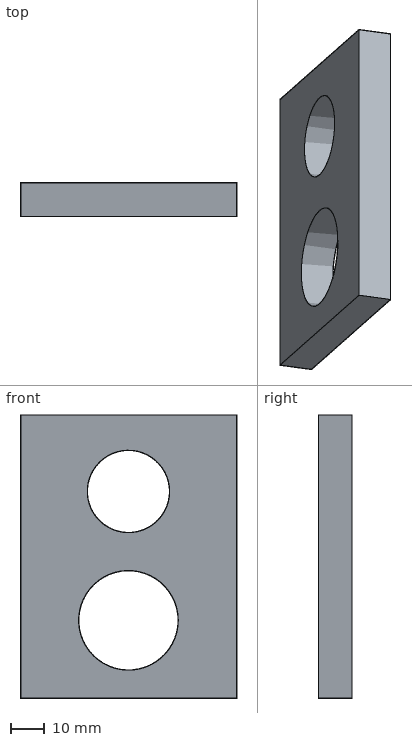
import cadquery as cq

width = 63.67
thickness = 10.0
height = 83.48

lower_hole_diameter = 29.22
lower_hole_height = 22.95
upper_hole_diameter = 24.15
upper_hole_height = 60.91

hole_centre_x = -0.09


def make_plate():
    """Plate centred on X and Y, with its bottom edge at Z = 0."""
    return cq.Workplane("XY").box(width, thickness, height, centered=(True, True, False))


def make_hole_cutter(diameter, centre_height):
    """Cylinder along Y that spans the plate from its back face to its front face."""
    return (
        cq.Workplane("XZ", origin=(hole_centre_x, thickness / 2, centre_height))
        .circle(diameter / 2)
        .extrude(thickness)
    )


result = make_plate()
for diameter, centre_height in (
    (lower_hole_diameter, lower_hole_height),
    (upper_hole_diameter, upper_hole_height),
):
    result = result.cut(make_hole_cutter(diameter, centre_height))